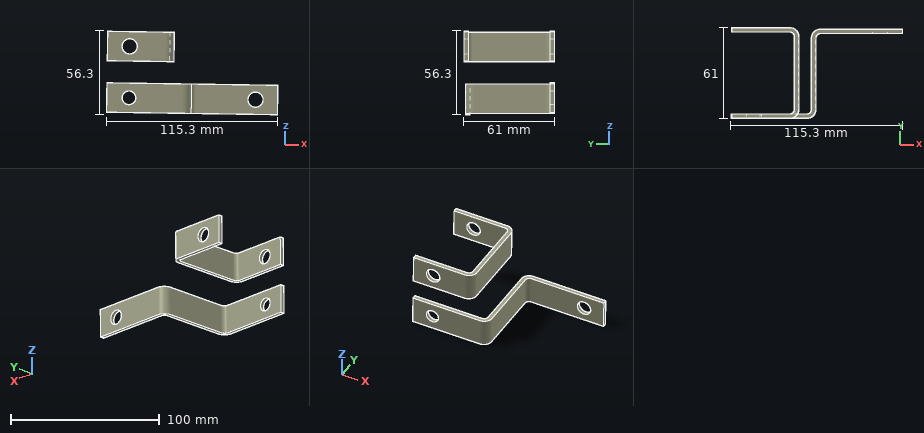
import cadquery as cq
import math

BRACKET_PITCH = 34.6
TILT = 0.84

STRIP_WIDTH = 20.0
THICKNESS = 3.0
INNER_RADIUS = THICKNESS
OUTER_RADIUS = INNER_RADIUS + THICKNESS

U_LENGTH = 45.0
U_DEPTH = 61.0

OVERALL_X = 115.3
TILT_RADIANS = math.radians(TILT)
Z_LENGTH = (OVERALL_X - STRIP_WIDTH * math.sin(TILT_RADIANS)) / math.cos(TILT_RADIANS)
Z_DEPTH = 60.0
Z_WEB_RIGHT = 57.0

HOLE_INSET = 15.0
LARGE_HOLE = 10.0
SMALL_HOLE = 9.0


def bend(strip, inner_corner, outer_corner):
    """Round the inside and outside vertical edges of one bend."""
    corners = ((inner_corner, INNER_RADIUS), (outer_corner, OUTER_RADIUS))
    for (x, y), radius in corners:
        edge = cq.selectors.NearestToPointSelector((x, y, STRIP_WIDTH / 2))
        strip = strip.edges("|Z").edges(edge).fillet(radius)
    return strip


def leg_hole(x, diameter, depth):
    """Cutter along Y, on the strip's centreline, from y = 0 to y = depth."""
    return (
        cq.Workplane("XZ", origin=(x, 0, STRIP_WIDTH / 2))
        .circle(diameter / 2)
        .extrude(-depth)
    )


def make_u_bracket():
    web_left = U_LENGTH - THICKNESS
    far_leg = U_DEPTH - THICKNESS
    outline = [
        (0, 0), (U_LENGTH, 0), (U_LENGTH, U_DEPTH), (0, U_DEPTH),
        (0, far_leg), (web_left, far_leg), (web_left, THICKNESS), (0, THICKNESS),
    ]
    strip = cq.Workplane("XY").polyline(outline).close().extrude(STRIP_WIDTH)
    strip = bend(strip, (web_left, THICKNESS), (U_LENGTH, 0))
    strip = bend(strip, (web_left, far_leg), (U_LENGTH, U_DEPTH))
    return strip.cut(leg_hole(HOLE_INSET, LARGE_HOLE, U_DEPTH))


def make_z_bracket():
    web_left = Z_WEB_RIGHT - THICKNESS
    far_leg = Z_DEPTH - THICKNESS
    outline = [
        (0, 0), (Z_WEB_RIGHT, 0), (Z_WEB_RIGHT, far_leg), (Z_LENGTH, far_leg),
        (Z_LENGTH, Z_DEPTH), (web_left, Z_DEPTH), (web_left, THICKNESS), (0, THICKNESS),
    ]
    strip = cq.Workplane("XY").polyline(outline).close().extrude(STRIP_WIDTH)
    strip = bend(strip, (web_left, THICKNESS), (Z_WEB_RIGHT, 0))
    strip = bend(strip, (Z_WEB_RIGHT, far_leg), (web_left, Z_DEPTH))
    strip = strip.cut(leg_hole(HOLE_INSET, SMALL_HOLE, Z_DEPTH))
    return strip.cut(leg_hole(Z_LENGTH - HOLE_INSET, LARGE_HOLE, Z_DEPTH))


def tilted(bracket):
    """Tilt a bracket about the Y axis, lowering its right-hand end."""
    return bracket.rotate((0, 0, 0), (0, 1, 0), TILT)


u_bracket = tilted(make_u_bracket().translate((0, 0, BRACKET_PITCH)))
z_bracket = tilted(make_z_bracket())

result = cq.Compound.makeCompound([u_bracket.solids().val(), z_bracket.solids().val()])